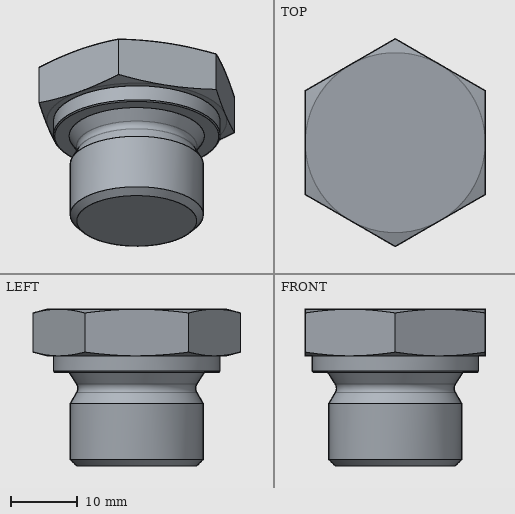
import cadquery as cq
import math

corner_diameter = 31.18
total_height = 23.5
head_height = 6.98
head_bevel_angle = 15.0
collar_diameter = 25.0
collar_height = 2.5
collar_chamfer = 0.2
shank_diameter = 20.0
shank_height = 9.35
shank_chamfer = 1.0
groove_arc_radius = 1.22
groove_floor_radius = 8.85
lower_cone_angle = 30.0
upper_cone_angle = 32.5

corner_radius = corner_diameter / 2
flat_radius = corner_radius * math.cos(math.radians(30))
collar_radius = collar_diameter / 2
shank_radius = shank_diameter / 2
head_bottom = total_height - head_height
collar_bottom = head_bottom - collar_height


def make_head():
    """Hexagon with corners on the Y axis, bevelled conically at both ends."""
    corners = [
        (
            corner_radius * math.cos(math.radians(30 + 60 * i)),
            corner_radius * math.sin(math.radians(30 + 60 * i)),
        )
        for i in range(6)
    ]
    hexagon = cq.Workplane("XY").workplane(offset=head_bottom).polyline(corners).close().extrude(head_height)

    bevel_drop = (corner_radius - flat_radius) * math.tan(math.radians(head_bevel_angle))
    bevel_body = (
        cq.Workplane("XZ")
        .moveTo(0, head_bottom)
        .lineTo(flat_radius, head_bottom)
        .lineTo(corner_radius, head_bottom + bevel_drop)
        .lineTo(corner_radius, total_height - bevel_drop)
        .lineTo(flat_radius, total_height)
        .lineTo(0, total_height)
        .close()
        .revolve(360, (0, 0), (0, 1))
    )
    return hexagon.intersect(bevel_body)


def make_turned_body():
    """Shank, rounded relief groove and collar, revolved about Z."""
    lower = math.radians(lower_cone_angle)
    upper = math.radians(upper_cone_angle)

    arc_start_r = groove_floor_radius + groove_arc_radius * (1 - math.cos(lower))
    arc_start_z = shank_height + (shank_radius - arc_start_r) / math.tan(lower)
    floor_z = arc_start_z + groove_arc_radius * math.sin(lower)
    arc_end_r = groove_floor_radius + groove_arc_radius * (1 - math.cos(upper))
    arc_end_z = floor_z + groove_arc_radius * math.sin(upper)
    cone_top_r = arc_end_r + (collar_bottom - arc_end_z) * math.tan(upper)

    return (
        cq.Workplane("XZ")
        .moveTo(0, 0)
        .lineTo(shank_radius - shank_chamfer, 0)
        .lineTo(shank_radius, shank_chamfer)
        .lineTo(shank_radius, shank_height)
        .lineTo(arc_start_r, arc_start_z)
        .threePointArc((groove_floor_radius, floor_z), (arc_end_r, arc_end_z))
        .lineTo(cone_top_r, collar_bottom)
        .lineTo(collar_radius - collar_chamfer, collar_bottom)
        .lineTo(collar_radius, collar_bottom + collar_chamfer)
        .lineTo(collar_radius, head_bottom)
        .lineTo(0, head_bottom)
        .close()
        .revolve(360, (0, 0), (0, 1))
    )


result = make_head().union(make_turned_body())